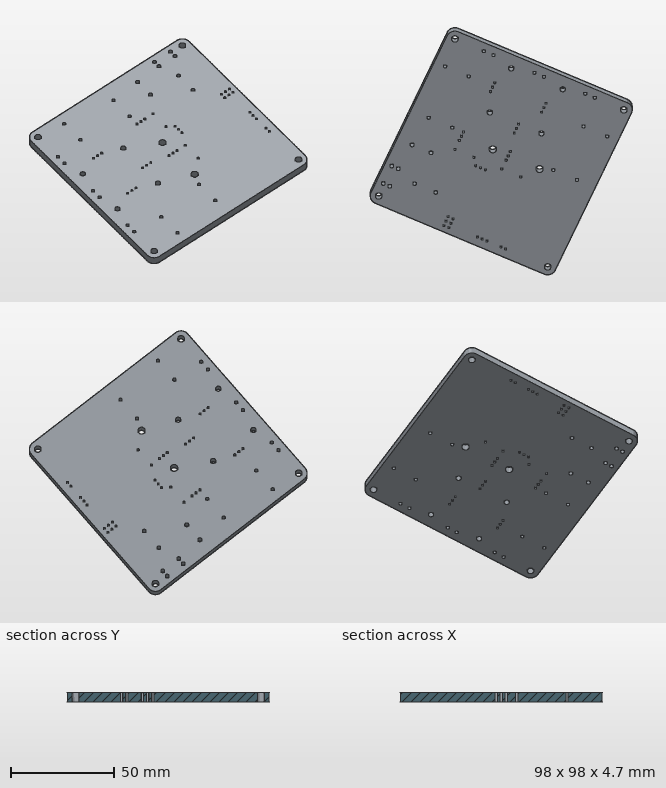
import cadquery as cq

board_side = 98.0
board_thickness = 4.7
corner_radius = 4.1

mounting_diameter = 3.2
large_diameter = 3.5
medium_diameter = 2.5
terminal_diameter = 1.9
wide_pair_diameter = 1.8
left_pair_diameter = 2.0
lead_diameter = 1.6
pin_diameter = 1.0
thick_pin_diameter = 1.1
thin_pin_diameter = 0.95

pin_pitch = 2.5
triple_pitch = 2.45
small_pair_spacing = 5.1
lead_pair_spacing = 12.5
jumper_spacing = 10.1
medium_spacing = 25.2
large_spacing = 24.9
terminal_spacing = 3.4
wide_pair_spacing = 11.2
left_pair_spacing = 10.0


def row(center_x, center_y, count, pitch):
    """Evenly spaced points along X about a center."""
    first_x = center_x - pitch * (count - 1) / 2
    return [(first_x + i * pitch, center_y) for i in range(count)]


def column(center_x, center_y, count, pitch):
    """Evenly spaced points along Y about a center."""
    first_y = center_y - pitch * (count - 1) / 2
    return [(center_x, first_y + i * pitch) for i in range(count)]


def drill(body, points, diameter):
    """Cut round holes through the full thickness."""
    return body.faces(">Z").workplane(origin=(0, 0, 0)).pushPoints(points).hole(diameter)


board = cq.Workplane("XY").box(board_side, board_side, board_thickness)
board = board.edges("|Z").fillet(corner_radius)

mounting_offset = board_side / 2 - corner_radius
mounting_points = [(x, y) for x in (-mounting_offset, mounting_offset)
                   for y in (-mounting_offset, mounting_offset)]
board = drill(board, mounting_points, mounting_diameter)

board = drill(board, row(7.9, 0, 2, large_spacing), large_diameter)

medium_points = column(-13.7, -29.5, 2, medium_spacing) + column(13.5, -29.9, 2, medium_spacing)
board = drill(board, medium_points, medium_diameter)

terminal_points = row(-43.8, 38.0, 2, terminal_spacing) + row(-43.8, 28.0, 2, terminal_spacing)
board = drill(board, terminal_points, terminal_diameter)

board = drill(board, row(-26.1, 31.85, 2, wide_pair_spacing), wide_pair_diameter)
board = drill(board, row(-36.1, 13.9, 2, left_pair_spacing), left_pair_diameter)

lead_points = []
for center_x, center_y in [(-33.3, -2.3), (32.9, -2.3), (-37.0, -29.9), (36.9, -29.0)]:
    lead_points += row(center_x, center_y, 2, lead_pair_spacing)
for center_x, center_y in [(-26.95, -44.9), (0, -44.7), (26.95, -44.9)]:
    lead_points += row(center_x, center_y, 2, small_pair_spacing)
board = drill(board, lead_points, lead_diameter)

header_points = column(-9.8, 43.4, 3, pin_pitch) + column(-7.2, 43.4, 3, pin_pitch)
header_points += row(10.0, 44.7, 3, pin_pitch) + row(21.3, 44.7, 2, pin_pitch)
board = drill(board, header_points, pin_diameter)

thin_points = row(-6.0, 11.2, 3, pin_pitch)
thin_points += column(1.5, -14.6, 3, pin_pitch) + column(9.1, -30.0, 3, pin_pitch)
board = drill(board, thin_points, thin_pin_diameter)

thick_points = column(-21.2, 0, 3, triple_pitch) + column(3.7, 0, 3, triple_pitch)
thick_points += column(-17.9, -29.5, 3, pin_pitch)
for center_x in (-16.2, 8.7):
    thick_points += row(center_x, 7.5, 2, jumper_spacing)
board = drill(board, thick_points, thick_pin_diameter)

result = board